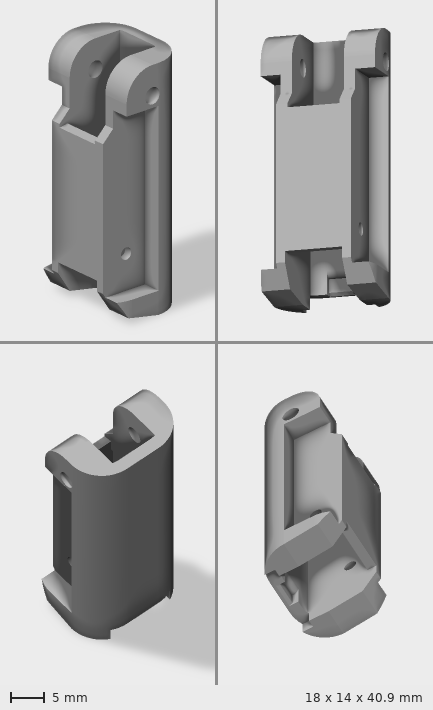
import cadquery as cq
import math


width = 18.0
depth = 14.0
height = 40.9
half_width = width / 2
corner_radius = 5.97
corner_center_x = half_width - corner_radius

arm_depth = 12.02
arm_radius = 5.05
shoulder_top = 30.9
shoulder_bottom = 28.95
foot_heel_depth = 5.8
foot_toe_depth = 11.6
foot_toe_height = 1.05
foot_slope_top = 4.65

core_width = 11.78
recess_depth_start = 5.8
recess_bottom = 3.93
recess_top = 33.9
foot_round_start = 10.95

back_wall = 2.05
front_wall = 1.5
cavity_front_depth = depth - front_wall
upper_cavity_width = 8.2
lower_cavity_width = 9.0
cavity_step_height = 26.6
front_opening_bottom = 28.35
front_wall_rise = 0.3
bottom_notch_height = 6.4
back_notch_width = 11.45
back_notch_height = 2.2
back_notch_depth = 2.45

latch_width = 4.0
latch_top = 5.8
latch_round = 1.02
latch_chamfer_top = 2.7
latch_chamfer_depth = 0.5

pivot_diameter = 2.8
pivot_depth = arm_depth - arm_radius
pivot_height = height - arm_radius
pin_diameter = 2.0
pin_depth = 9.5
pin_height = 9.95


def block(block_width, near_depth, far_depth, bottom, top):
    """Box centred in X between two depths measured from the back face."""
    return cq.Workplane("XY").box(
        block_width, far_depth - near_depth, top - bottom, centered=(True, False, False)
    ).translate((0, -far_depth, bottom))


def outline(radius, front_depth):
    """U-shaped outline about the back corner centres, closed by a straight front."""
    half = corner_center_x + radius
    back = radius - corner_radius
    diagonal = radius * math.sqrt(0.5)
    return (
        cq.Workplane("XY")
        .moveTo(-half, -front_depth)
        .lineTo(half, -front_depth)
        .lineTo(half, -corner_radius)
        .threePointArc(
            (corner_center_x + diagonal, diagonal - corner_radius), (corner_center_x, back)
        )
        .lineTo(-corner_center_x, back)
        .threePointArc(
            (-corner_center_x - diagonal, diagonal - corner_radius), (-half, -corner_radius)
        )
        .close()
    )


def side_profile():
    """Rounded arm, shoulder and sloped foot, extruded across the width."""
    arc_offset = arm_radius * math.sqrt(0.5)
    return (
        cq.Workplane("YZ")
        .moveTo(0, 0)
        .lineTo(-foot_heel_depth, 0)
        .lineTo(-foot_toe_depth, foot_toe_height)
        .lineTo(-depth, foot_slope_top)
        .lineTo(-depth, shoulder_bottom)
        .lineTo(-arm_depth, shoulder_top)
        .lineTo(-arm_depth, pivot_height)
        .threePointArc((-pivot_depth - arc_offset, pivot_height + arc_offset), (-pivot_depth, height))
        .lineTo(0, height)
        .close()
        .extrude(half_width, both=True)
    )


def side_recesses():
    """Steps that narrow the front of the body to the core width."""
    full = block(width, recess_depth_start, depth, recess_bottom, recess_top)
    return full.cut(block(core_width, recess_depth_start, depth, recess_bottom, recess_top))


def foot_corners():
    """Material outside the rounded front corners of the feet."""
    front = block(width, foot_round_start, depth, 0, recess_bottom)
    for side in (-1, 1):
        post = (
            cq.Workplane("XY")
            .center(side * corner_center_x, -foot_round_start)
            .circle(corner_radius)
            .extrude(recess_bottom)
        )
        front = front.cut(post)
    return front.cut(block(2 * corner_center_x, foot_round_start, depth, 0, recess_bottom))


def cavity():
    """Through cavity with a curved back, widened below the step."""
    space = outline(corner_radius - back_wall, depth).extrude(height)
    upper = block(upper_cavity_width, 0, cavity_front_depth, 0, height)
    lower = block(lower_cavity_width, 0, cavity_front_depth, 0, cavity_step_height)
    notch = block(lower_cavity_width, 0, depth, 0, bottom_notch_height)
    return space.intersect(upper.union(lower).union(notch))


def front_opening():
    """Opening between the arms, with a sill rising slightly inward."""
    return (
        cq.Workplane("YZ")
        .moveTo(-depth, front_opening_bottom)
        .lineTo(-cavity_front_depth, front_opening_bottom + front_wall_rise)
        .lineTo(-cavity_front_depth, height)
        .lineTo(-depth, height)
        .close()
        .extrude(upper_cavity_width / 2, both=True)
    )


def latch_recess():
    """Shallow recess with a convex upper lip and a chamfered lower edge."""
    floor = latch_round - back_wall
    arc_offset = latch_round * math.sqrt(0.5)
    return (
        cq.Workplane("YZ")
        .moveTo(-back_wall, latch_top)
        .threePointArc(
            (floor - arc_offset, latch_top - arc_offset),
            (floor, latch_top - latch_round),
        )
        .lineTo(floor, latch_chamfer_top)
        .lineTo(floor + latch_chamfer_depth, back_notch_height)
        .lineTo(-back_wall, back_notch_height)
        .close()
        .extrude(latch_width / 2, both=True)
    )


def cross_hole(diameter, hole_depth, hole_height):
    """Hole running through the full width."""
    return (
        cq.Workplane("YZ")
        .center(-hole_depth, hole_height)
        .circle(diameter / 2)
        .extrude(half_width, both=True)
    )


result = (
    outline(corner_radius, depth)
    .extrude(height)
    .intersect(side_profile())
    .cut(side_recesses())
    .cut(foot_corners())
    .cut(cavity())
    .cut(front_opening())
    .cut(block(back_notch_width, 0, back_notch_depth, 0, back_notch_height))
    .cut(latch_recess())
    .cut(cross_hole(pivot_diameter, pivot_depth, pivot_height))
    .cut(cross_hole(pin_diameter, pin_depth, pin_height))
)